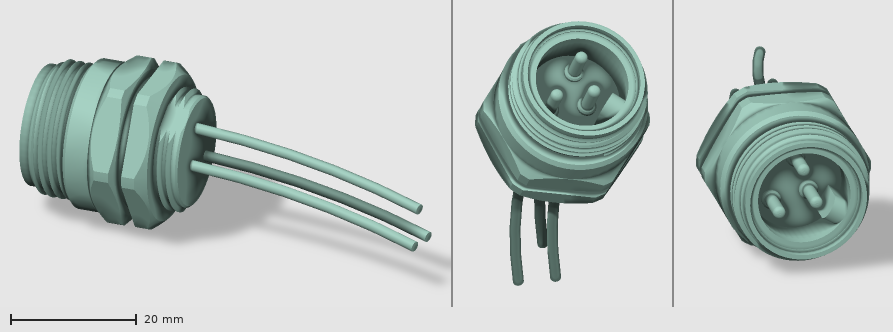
import cadquery as cq
import math

TOTAL_LENGTH = 67.2

RIM_RADIUS = 9.9
RIM_LENGTH = 1.4
ROOT_RADIUS = 10.3
SHOULDER_X = 8.0
UNDERCUT_RADIUS = 10.1
UNDERCUT_WIDTH = 0.4
RECESS_RADIUS = 9.15
RECESS_DEPTH = 1.35
INSERT_RADIUS = 8.7
INSERT_FACE_X = 1.55
BORE_RADIUS = 7.5
FLOOR_X = 8.45

COLLAR_RADIUS = 12.15
COLLAR_CHAMFER = 0.6
HEX_X = 12.35
HEX_END_X = 17.05
HEX_FLATS = 24.2
BODY_CORNER_RADIUS = 13.5
CHAMFER_RADIUS = 11.8
LONG_CHAMFER = 1.6
SHORT_CHAMFER = 0.6

NUT_X = 18.7
NUT_END_X = 22.45
NUT_CORNER_RADIUS = 13.45
NUT_TURN = 1.4
RING_RADIUS = 10.9
RING_EDGE_RADIUS = 10.5

STUB_RADIUS = 9.1
STUB_END_X = 26.45
STUB_CHAMFER = 0.35
FLAT_DISTANCE = 8.8
FLAT_ANGLE = 120.0

PITCH_TURNS = 4.466
FRONT_CREST = 11.1
FRONT_PITCH = 7.1 / PITCH_TURNS
FRONT_THREAD_X = 0.9
FRONT_THREAD_END_X = 7.1
REAR_CREST = 9.95
REAR_PITCH = 6.7 / PITCH_TURNS
REAR_THREAD_X = 20.8
REAR_THREAD_END_X = 25.25
THREAD_HALF_ANGLE = 30.0
THREAD_EMBED = 0.2

PIN_POSITIONS = [(0.0, 4.5), (-2.1, -1.15), (3.95, -2.35)]
PIN_RADIUS = 1.0
PIN_TIP_X = 1.35
PIN_TIP_ROUND = 0.8
PIN_COLLAR_RADIUS = 1.55
PIN_COLLAR_HEIGHT = 0.8
PIN_COLLAR_CHAMFER = 0.3
KEY_ANGLE = 210.0
KEY_INNER_RADIUS = 5.0
KEY_WIDTH = 4.15

WIRE_RADIUS = 0.9
BEND_X = 17.45
BEND_RADIUS = 157.85
BEND_ANGLE = 210.0


def revolve_about_x(points):
    """Turn a closed (X, radius) outline about the X axis."""
    return cq.Workplane("XY").polyline(points).close().revolve(360, (0, 0), (1, 0))


def rod(start_x, end_x, radius, center=(0, 0)):
    """Round rod along X."""
    return cq.Workplane("YZ", origin=(start_x, *center)).circle(radius).extrude(end_x - start_x)


def hexagon(start_x, end_x, corner_radius, front_chamfer, rear_chamfer):
    """Hexagonal prism with flats facing +Z and -Z and its corners turned down."""
    prism = (
        cq.Workplane("YZ", origin=(start_x, 0, 0))
        .polygon(6, HEX_FLATS / math.cos(math.pi / 6))
        .extrude(end_x - start_x)
    )
    outline = [(start_x, 0), (start_x, corner_radius)]
    if front_chamfer:
        outline = [(start_x, 0), (start_x, CHAMFER_RADIUS), (start_x + front_chamfer, corner_radius)]
    outline += [(end_x - rear_chamfer, corner_radius), (end_x, CHAMFER_RADIUS), (end_x, 0)]
    return prism.intersect(revolve_about_x(outline))


def thread_ridge(start_x, end_x, pitch, core, crest):
    """Right-handed V ridge around the X axis, starting at -Z."""
    base = core - THREAD_EMBED
    half_width = (crest - base) * math.tan(math.radians(THREAD_HALF_ANGLE))
    helix = cq.Wire.makeHelix(pitch, end_x - start_x, base)
    ridge = (
        cq.Workplane("XZ")
        .polyline([(base, -half_width), (crest, 0), (base, half_width)])
        .close()
        .sweep(cq.Workplane(helix), isFrenet=True)
    )
    return ridge.rotate((0, 0, 0), (0, 1, 0), 90).translate((start_x, 0, 0))


shell = revolve_about_x([
    (0, 0),
    (0, RIM_RADIUS),
    (RIM_LENGTH, RIM_RADIUS),
    (RIM_LENGTH + ROOT_RADIUS - RIM_RADIUS, ROOT_RADIUS),
    (SHOULDER_X - UNDERCUT_WIDTH, ROOT_RADIUS),
    (SHOULDER_X - UNDERCUT_WIDTH, UNDERCUT_RADIUS),
    (SHOULDER_X, UNDERCUT_RADIUS),
    (SHOULDER_X, COLLAR_RADIUS - COLLAR_CHAMFER),
    (SHOULDER_X + COLLAR_CHAMFER, COLLAR_RADIUS),
    (HEX_X, COLLAR_RADIUS),
    (HEX_X, 0),
])

lead_in_rise = SHOULDER_X - RIM_LENGTH
lead_in = revolve_about_x([
    (RIM_LENGTH, 0),
    (RIM_LENGTH, RIM_RADIUS),
    (SHOULDER_X, RIM_RADIUS + lead_in_rise),
    (SHOULDER_X, 0),
])
front_thread = thread_ridge(
    FRONT_THREAD_X, FRONT_THREAD_END_X, FRONT_PITCH, ROOT_RADIUS, FRONT_CREST
).intersect(lead_in)

body_hex = hexagon(HEX_X, HEX_END_X, BODY_CORNER_RADIUS, LONG_CHAMFER, SHORT_CHAMFER)
nut = hexagon(NUT_X, NUT_END_X, NUT_CORNER_RADIUS, 0, LONG_CHAMFER).rotate((0, 0, 0), (1, 0, 0), NUT_TURN)
seal = (
    cq.Workplane("XY")
    .moveTo(HEX_END_X, 0)
    .lineTo(HEX_END_X, RING_EDGE_RADIUS)
    .threePointArc(((HEX_END_X + NUT_X) / 2, RING_RADIUS), (NUT_X, RING_EDGE_RADIUS))
    .lineTo(NUT_X, 0)
    .close()
    .revolve(360, (0, 0), (1, 0))
)

stub = rod(NUT_END_X, STUB_END_X, STUB_RADIUS).faces(">X").chamfer(STUB_CHAMFER)
stub = stub.union(thread_ridge(REAR_THREAD_X, REAR_THREAD_END_X, REAR_PITCH, STUB_RADIUS, REAR_CREST))
flat_cut = (
    cq.Workplane("XY")
    .box(STUB_END_X - NUT_END_X, STUB_RADIUS, 2 * STUB_RADIUS, centered=(False, False, True))
    .translate((NUT_END_X, FLAT_DISTANCE, 0))
    .rotate((0, 0, 0), (1, 0, 0), FLAT_ANGLE)
)
stub = stub.cut(flat_cut)

body = shell.union(front_thread).union(body_hex).union(seal).union(nut).union(stub)

body = body.cut(rod(0, RECESS_DEPTH, RECESS_RADIUS))
body = body.cut(rod(0, INSERT_FACE_X, INSERT_RADIUS))
body = body.cut(rod(0, FLOOR_X, BORE_RADIUS))

key_round_x = INSERT_FACE_X + KEY_WIDTH / 2
key_outer_radius = (BORE_RADIUS + INSERT_RADIUS) / 2
key = (
    cq.Workplane("XZ", origin=(0, KEY_INNER_RADIUS, 0))
    .moveTo(FLOOR_X, -KEY_WIDTH / 2)
    .lineTo(key_round_x, -KEY_WIDTH / 2)
    .threePointArc((INSERT_FACE_X, 0), (key_round_x, KEY_WIDTH / 2))
    .lineTo(FLOOR_X, KEY_WIDTH / 2)
    .close()
    .extrude(KEY_INNER_RADIUS - key_outer_radius)
    .rotate((0, 0, 0), (1, 0, 0), KEY_ANGLE)
)
body = body.union(key)

bend_direction = (0, math.cos(math.radians(BEND_ANGLE)), math.sin(math.radians(BEND_ANGLE)))
bend_sweep = math.degrees(math.asin((TOTAL_LENGTH - BEND_X) / (BEND_RADIUS + WIRE_RADIUS)))
for y, z in PIN_POSITIONS:
    pin = rod(PIN_TIP_X, FLOOR_X, PIN_RADIUS, (y, z)).faces("<X").edges().fillet(PIN_TIP_ROUND)
    collar = rod(FLOOR_X - PIN_COLLAR_HEIGHT, FLOOR_X, PIN_COLLAR_RADIUS, (y, z))
    collar = collar.faces("<X").chamfer(PIN_COLLAR_CHAMFER)
    wire_plane = cq.Plane(origin=(BEND_X, y, z), xDir=bend_direction, normal=(1, 0, 0))
    wire = (
        cq.Workplane(wire_plane)
        .circle(WIRE_RADIUS)
        .revolve(bend_sweep, (BEND_RADIUS, 0), (BEND_RADIUS, 1))
    )
    body = body.union(pin).union(collar).union(wire)

result = body